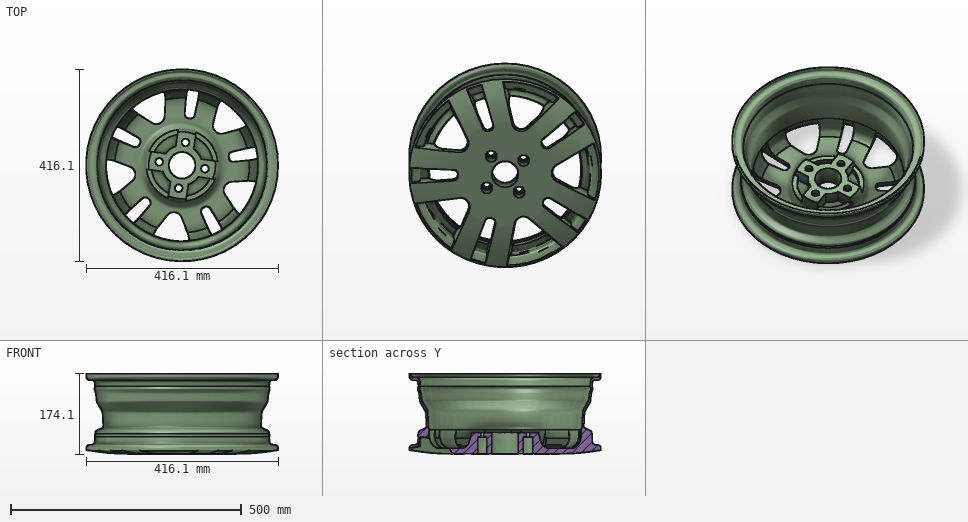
import cadquery as cq
import math

rim_radius = 208.07
rim_width = 174.09
wall = 5.0

bead_radius = 188.7
bead_root_radius = 190.3
hump_radius = 190.4
hump_end_radius = 187.4
well_top_radius = 185.3
well_radius = 170.9
well_taper = 1.9
upper_flange = 159.3
upper_bead_end = 146.5
upper_hump = 141.0
upper_hump_end = 132.3
well_slope_top = 113.0
well_slope_bottom = 91.5
well_bottom = 57.5
lower_shoulder = 49.5
lower_hump = 40.5
lower_hump_height = 6.0
lower_flange = 21.0
lower_flange_drop = 1.4
lip_edge = 8.3
upper_flange_round = 9.0
lower_flange_round = 8.0
upper_flange_root = 4.0
lower_flange_root = 5.5
hump_round = 2.0
hump_end_round = 20.0
lower_hump_round = 5.6
well_round = 15.0
well_foot_round = 5.0
shoulder_round = 8.5
edge_break = 0.5

flange_lip_width = 3.5
flange_lip_taper = 1.5
flange_thickness = 7.3
flange_inner_round = 8.5
lip_inner_round = 4.0
well_inner_shift = 3.0

hub_face = 46.6
spoke_back = 12.6
dome_corner_radius = 160.8
dome_blend = 520.0
spoke_face_radius = 146.0
spoke_blend_foot = 19.0
disc_wall_radius = 164.2
disc_wall_top = 53.0
ledge_round = 3.0

bore_radius = 28.5
bolt_circle_radius = 50.0
bolt_hole_radius = 8.0
bolt_count = 4
lug_recess_radius = 12.0
lug_seat_depth = 10.0
pattern_angle = 81.5
hub_face_radius = 72.4
ledge_radius = 77.5
ledge_height = 29.5
hub_blend = 19.0
pocket_radius = 67.0
pocket_floor = 17.5
lobe_width = 39.0
core_radius = 43.5

spoke_count = 5
tip_radius = 103.0
window_round = 18.0
window_half_angle = 30.0
slot_tip_half_width = 10.0
slot_half_angle = 3.7
slot_round = 9.0
window_draft = 11.0
slot_draft = 5.0
window_outer_radius = 165.0
mouth_top = 45.0
undercut_top = 34.5
undercut_rise = 3.0
undercut_round = 3.0
undercut_lip_round = 2.0
undercut_lip_radius = 203.0
lip_depth = 7.5

outer_reach = rim_radius + 8.0
margin = 5.0
coincident = 1e-6


def rounded_outline(plane, corners):
    """Closed outline on a plane from (x, y, rounding radius) corners."""
    points = [cq.Vector(x, y) for x, y, _ in corners]
    path = None
    previous_end = None
    for i, (corner, (_, _, radius)) in enumerate(zip(points, corners)):
        back = (points[i - 1] - corner).normalized()
        ahead = (points[(i + 1) % len(points)] - corner).normalized()
        half_angle = back.getAngle(ahead) / 2
        setback = radius / math.tan(half_angle)
        start = corner + back * setback
        end = corner + ahead * setback
        if path is None:
            path = cq.Workplane(plane).moveTo(start.x, start.y)
        elif (start - previous_end).Length > coincident:
            path = path.lineTo(start.x, start.y)
        if radius > 0:
            bulge = radius / math.sin(half_angle) - radius
            middle = corner + (back + ahead).normalized() * bulge
            path = path.threePointArc((middle.x, middle.y), (end.x, end.y))
        previous_end = end
    return path.close()


def revolved(corners):
    """Solid of revolution about Z from (radius, height, rounding) corners."""
    return rounded_outline("XZ", corners).revolve(360, (0, 0), (0, 1))


def cylinder(radius, bottom, top):
    return cq.Workplane("XY", origin=(0, 0, bottom)).circle(radius).extrude(top - bottom)


def wheel_blank():
    """Rim, disc and hub as one revolved body."""
    outside = [
        (rim_radius, rim_width, edge_break),
        (rim_radius, upper_flange, upper_flange_round),
        (bead_root_radius, upper_flange, upper_flange_root),
        (bead_radius, upper_bead_end, 0),
        (hump_radius, upper_hump, hump_round),
        (hump_end_radius, upper_hump_end, hump_end_round),
        (well_top_radius, well_slope_top, well_round),
        (well_radius + well_taper, well_slope_bottom, well_round),
        (well_radius, well_bottom, well_foot_round),
        (bead_radius, lower_shoulder, shoulder_round),
        (bead_radius, lower_hump + lower_hump_height / 2, 0),
        (hump_radius, lower_hump, lower_hump_round),
        (bead_radius, lower_hump - lower_hump_height / 2, 0),
        (bead_root_radius, lower_flange, lower_flange_root),
        (rim_radius, lower_flange - lower_flange_drop, lower_flange_round),
        (rim_radius, lip_edge, 2 * edge_break),
        (dome_corner_radius, 0, dome_blend),
    ]
    flank_slope = (ledge_radius - hub_face_radius) / (hub_face - ledge_height)
    hub_foot_radius = hub_face_radius + flank_slope * (hub_face - spoke_back)
    hub_and_disc = [
        (bore_radius, 0, 0),
        (bore_radius, hub_face, 0),
        (hub_face_radius, hub_face, 0),
        (hub_foot_radius, spoke_back, hub_blend),
        (spoke_face_radius, spoke_back, 0),
    ]
    blend_width = disc_wall_radius - spoke_face_radius
    blend_rise = spoke_blend_foot - spoke_back
    blend_turn = math.pi / 2 - math.atan2(blend_rise, blend_width)
    spoke_blend = math.hypot(blend_width, blend_rise) / math.tan(blend_turn / 2)
    flange_face_radius = rim_radius - flange_lip_width - flange_lip_taper
    flange_inside = upper_flange + flange_thickness
    inside = [
        (disc_wall_radius, spoke_blend_foot, spoke_blend),
        (disc_wall_radius, disc_wall_top, 0),
        (well_radius - wall, well_bottom, ledge_round),
        (well_radius + well_taper - wall, well_slope_bottom + well_inner_shift, well_round + wall),
        (well_top_radius - wall, well_slope_top + well_inner_shift, well_round - wall),
        (hump_end_radius - wall, upper_hump_end, hump_end_round - wall),
        (hump_radius - wall, upper_hump, hump_round),
        (bead_radius - wall, upper_bead_end, 0),
        (bead_root_radius - wall, flange_inside, flange_inner_round),
        (flange_face_radius, flange_inside, lip_inner_round),
        (rim_radius - flange_lip_width, rim_width, edge_break),
    ]
    return revolved(outside + hub_and_disc + inside)


def hub_pockets():
    """Four stepped pockets that leave a cross of bolt lobes on the hub."""
    lobes = cylinder(core_radius, 0, rim_width)
    for quarter_turn in (0, 90):
        lobe = cq.Workplane("XY").rect(lobe_width, rim_width).extrude(rim_width)
        lobes = lobes.union(lobe.rotate((0, 0, 0), (0, 0, 1), pattern_angle - 90 + quarter_turn))
    ledge = cylinder(ledge_radius + margin, ledge_height, hub_face + margin)
    pocket = cylinder(pocket_radius, pocket_floor, hub_face)
    return ledge.union(pocket).cut(lobes)


def bolt_holes():
    """Bolt holes with wider lug nut recesses from the front."""
    pattern = cq.Workplane("XY").polarArray(bolt_circle_radius, pattern_angle, 360, bolt_count)
    holes = pattern.circle(bolt_hole_radius).extrude(hub_face)
    recesses = pattern.circle(lug_recess_radius).extrude(hub_face - lug_seat_depth)
    return holes.union(recesses)


def front_growth(draft):
    """Growth of a drafted opening from the spoke rear face to the cutter base."""
    return (spoke_back + margin) * math.tan(math.radians(draft))


def opening_prism(corners, draft, direction):
    """Drafted cutter; the corners describe its base, one margin in front of the wheel."""
    prism = rounded_outline("XY", corners).extrude(disc_wall_top + margin, taper=draft)
    return prism.translate((0, 0, -margin)).rotate((0, 0, 0), (0, 0, 1), direction)


def window_prism(direction):
    growth = front_growth(window_draft)
    half_angle = math.radians(window_half_angle)
    tip_round = window_round + growth
    apex = tip_radius - growth - tip_round * (1 / math.sin(half_angle) - 1)
    end_half_width = (outer_reach - apex) * math.tan(half_angle)
    corners = [
        (apex, 0, tip_round),
        (outer_reach, -end_half_width, 0),
        (outer_reach, end_half_width, 0),
    ]
    return opening_prism(corners, window_draft, direction)


def slot_prism(direction):
    growth = front_growth(slot_draft)
    tip = tip_radius - growth
    tip_half_width = slot_tip_half_width + growth
    end_half_width = tip_half_width + (outer_reach - tip) * math.tan(math.radians(slot_half_angle))
    corners = [
        (tip, tip_half_width, slot_round + growth),
        (tip, -tip_half_width, slot_round + growth),
        (outer_reach, -end_half_width, 0),
        (outer_reach, end_half_width, 0),
    ]
    return opening_prism(corners, slot_draft, direction)


def opening_envelope():
    """Limit of the openings, whose mouths leave an even rim wall behind the front lip."""
    draft_slope = math.tan(math.radians(window_draft))
    mouth_radius = window_outer_radius + (mouth_top - undercut_top) * draft_slope
    top_radius = window_outer_radius - (disc_wall_top - mouth_top) * draft_slope
    return revolved([
        (0, -margin, 0),
        (undercut_lip_radius, -margin, 0),
        (undercut_lip_radius, lower_flange - lip_depth, undercut_lip_round),
        (bead_root_radius - wall, lower_flange - wall, wall),
        (bead_radius - wall, undercut_top + undercut_rise, undercut_round),
        (mouth_radius, undercut_top, 0),
        (top_radius, disc_wall_top, 0),
        (0, disc_wall_top, 0),
    ])


def spoke_openings():
    """Windows between the spokes and a slot along the middle of each spoke."""
    step = 360 / spoke_count
    prisms = cq.Workplane("XY")
    for i in range(spoke_count):
        slot_angle = pattern_angle + i * step
        prisms = prisms.union(slot_prism(slot_angle))
        prisms = prisms.union(window_prism(slot_angle + step / 2))
    return prisms.intersect(opening_envelope())


result = wheel_blank().cut(hub_pockets()).cut(bolt_holes()).cut(spoke_openings())